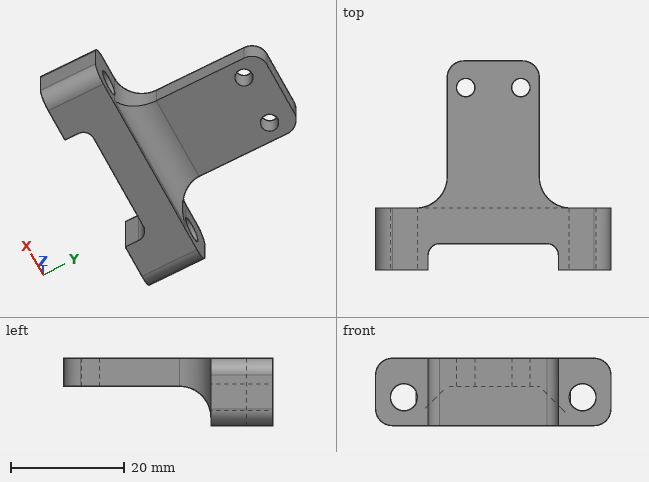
import cadquery as cq

block_width = 41.6
block_depth = 11.0
block_height = 11.95
block_corner_radius = 3.0
block_hole_diameter = 4.75
block_hole_spacing = 31.55
block_hole_height = 5.05

recess_width = 22.95
recess_depth = 4.65
recess_corner_radius = 2.0

total_depth = 37.0
tongue_width = 16.3
tongue_thickness = 5.0
tongue_corner_radius = 3.0
tongue_hole_diameter = 3.2
tongue_hole_spacing = 9.75
tongue_hole_end_distance = 4.75

blend_radius = 5.5

tongue_underside = block_height - tongue_thickness


def make_block():
    """Block with rounded long edges, front recess and two through holes."""
    block = (
        cq.Workplane("XY")
        .box(block_width, block_depth, block_height, centered=(True, False, False))
        .edges("|Y")
        .fillet(block_corner_radius)
    )
    recess = (
        cq.Workplane("XY")
        .box(recess_width, recess_depth, block_height, centered=(True, False, False))
        .edges("|Z and >Y")
        .fillet(recess_corner_radius)
    )
    holes = (
        cq.Workplane("XZ")
        .pushPoints([(side * block_hole_spacing / 2, block_hole_height) for side in (-1, 1)])
        .circle(block_hole_diameter / 2)
        .extrude(-block_depth)
    )
    return block.cut(recess).cut(holes)


def make_tongue():
    """Flat tongue starting at the recess floor, with two holes near its free end."""
    tongue = (
        cq.Workplane("XY", origin=(0, recess_depth, tongue_underside))
        .box(tongue_width, total_depth - recess_depth, tongue_thickness, centered=(True, False, False))
        .edges("|Z and >Y")
        .fillet(tongue_corner_radius)
    )
    hole_y = total_depth - tongue_hole_end_distance
    holes = (
        cq.Workplane("XY", origin=(0, 0, tongue_underside))
        .pushPoints([(side * tongue_hole_spacing / 2, hole_y) for side in (-1, 1)])
        .circle(tongue_hole_diameter / 2)
        .extrude(tongue_thickness)
    )
    return tongue.cut(holes)


def make_blend():
    """Concave blend joining tongue and block, curved both in plan and from below."""
    half_tongue = tongue_width / 2
    half_flare = half_tongue + blend_radius
    end_y = block_depth + blend_radius
    low_z = tongue_underside - blend_radius
    flare = (
        cq.Workplane("XY", origin=(0, 0, low_z))
        .moveTo(-half_flare, block_depth)
        .lineTo(half_flare, block_depth)
        .radiusArc((half_tongue, end_y), blend_radius)
        .lineTo(-half_tongue, end_y)
        .radiusArc((-half_flare, block_depth), blend_radius)
        .close()
        .extrude(block_height - low_z)
    )
    side_profile = (
        cq.Workplane("YZ", origin=(-half_flare, 0, 0))
        .moveTo(block_depth, block_height)
        .lineTo(end_y, block_height)
        .lineTo(end_y, tongue_underside)
        .radiusArc((block_depth, low_z), -blend_radius)
        .close()
        .extrude(2 * half_flare)
    )
    return flare.intersect(side_profile)


result = make_block().union(make_tongue()).union(make_blend())